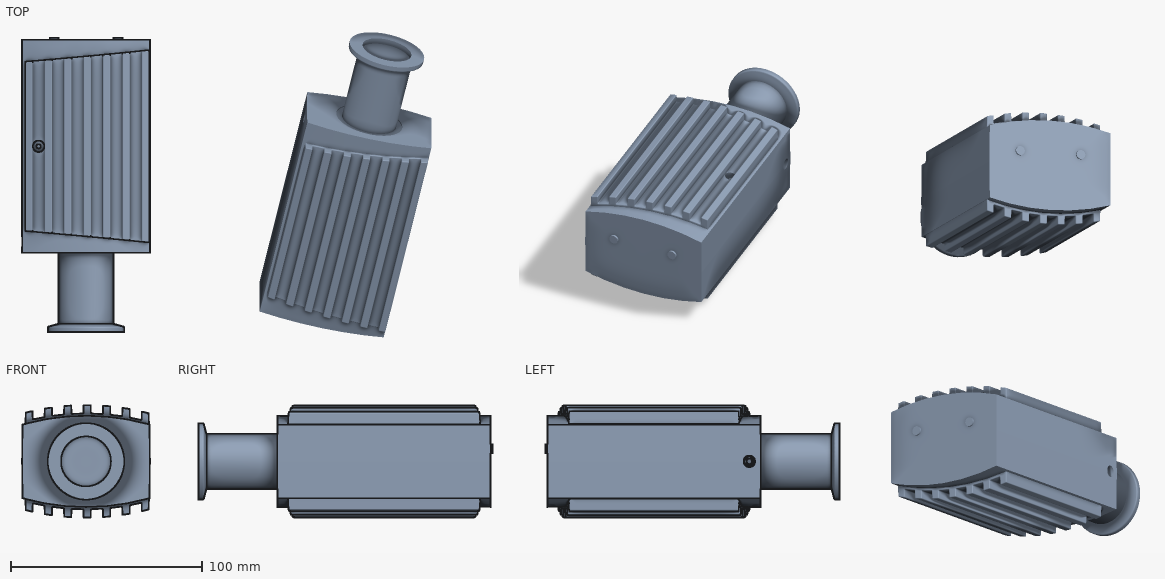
import cadquery as cq

overall_length = 153.9

body_length = 111.5
body_width = 67.0
side_corner_x = 33.2
side_corner_z = 19.2
crest_z = 23.9

floor_rise = 1.2
height_over_fins = 59.0
fin_count = 7
fin_pitch = 10.2
fin_width = 3.8
slot_taper = 0.5
pad_draft_angle = 2
pad_base_z = 18.5
fin_offset_x = 0.6
fin_fillet = 0.5
pad_left_length = 88.6
pad_right_length = 100.7

tube_diameter = 29.0
tube_seat_diameter = 35.4
tube_seat_depth = 0.6
flange_diameter = 40
flange_rim = 2.8
flange_taper = 1.5
flange_rim_fillet = 0.8
tube_length = 41.4
bore_diameter = 26.2
bore_depth = 3.1

stud_diameter = 4.8
stud_spacing = 33.4
stud_z = 6.6

screw_hole_diameter = 6.0
side_screw_y = 5.8
side_screw_depth = 3.8
side_head_diameter = 4.8
side_head_height = 0.8
side_socket_diameter = 3.0
side_socket_depth = 1.5
top_screw_depth = 4.6
top_screw_height = 1.5
top_screw_tip_diameter = 2.3

fin_crest_z = height_over_fins / 2
arch_sag = crest_z - side_corner_z
arch_radius = (side_corner_x**2 + arch_sag**2) / (2 * arch_sag)
arch_center_z = crest_z - arch_radius
fin_span = (fin_count - 1) * fin_pitch
pad_left_x = fin_offset_x - fin_span / 2 - fin_width / 2
pad_right_x = fin_offset_x + fin_span / 2 + fin_width / 2
stud_height = overall_length - body_length - tube_length
body_mid_y = body_length / 2


def arch(top_z):
    """Long cylinder concentric with the housing arch, cresting at top_z."""
    return (
        cq.Workplane("XZ", origin=(0, body_length, arch_center_z))
        .circle(top_z - arch_center_z)
        .extrude(body_length)
    )


def make_body():
    """Housing with its front face at Y = 0."""
    return (
        cq.Workplane("XZ", origin=(0, body_length, 0))
        .moveTo(-side_corner_x, -side_corner_z)
        .threePointArc((0, -crest_z), (side_corner_x, -side_corner_z))
        .lineTo(body_width / 2, 0)
        .lineTo(side_corner_x, side_corner_z)
        .threePointArc((0, crest_z), (-side_corner_x, side_corner_z))
        .lineTo(-body_width / 2, 0)
        .close()
        .extrude(body_length)
    )


def make_fins():
    """Finned pad on the top face, longer on the right than on the left."""
    pad = (
        cq.Workplane("XY", origin=(0, 0, pad_base_z))
        .moveTo(pad_left_x, body_mid_y - pad_left_length / 2)
        .lineTo(pad_right_x, body_mid_y - pad_right_length / 2)
        .lineTo(pad_right_x, body_mid_y + pad_right_length / 2)
        .lineTo(pad_left_x, body_mid_y + pad_left_length / 2)
        .close()
        .extrude(fin_crest_z - pad_base_z, taper=pad_draft_angle)
        .intersect(arch(fin_crest_z))
    )
    slot_half = (fin_pitch - fin_width) / 2
    slots = cq.Workplane("XZ", origin=(0, body_length, 0))
    for i in range(fin_count - 1):
        slot_x = fin_offset_x - fin_span / 2 + (i + 0.5) * fin_pitch
        slots = slots.moveTo(slot_x - slot_half + slot_taper, 0)
        slots = slots.lineTo(slot_x + slot_half - slot_taper, 0)
        slots = slots.lineTo(slot_x + slot_half, fin_crest_z)
        slots = slots.lineTo(slot_x - slot_half, fin_crest_z).close()
    slots = slots.extrude(body_length).cut(arch(crest_z + floor_rise))
    fins = pad.cut(slots)
    return fins.faces("not <Z").edges("not <Z").fillet(fin_fillet)


def make_tube():
    """Tube with a flange whose back face tapers, bored shallowly at the end."""
    taper_y = -tube_length + flange_rim + flange_taper
    rim_y = -tube_length + flange_rim
    bore_y = -tube_length + bore_depth
    tube = (
        cq.Workplane("XY")
        .moveTo(0, tube_seat_depth)
        .lineTo(tube_diameter / 2, tube_seat_depth)
        .lineTo(tube_diameter / 2, taper_y)
        .lineTo(flange_diameter / 2, rim_y)
        .lineTo(flange_diameter / 2, -tube_length)
        .lineTo(bore_diameter / 2, -tube_length)
        .lineTo(bore_diameter / 2, bore_y)
        .lineTo(0, bore_y)
        .close()
        .revolve(360, (0, 0, 0), (0, 1, 0))
    )
    rim_edge = cq.selectors.NearestToPointSelector((0, rim_y, 0))
    return tube.edges(rim_edge).fillet(flange_rim_fillet)


def make_tube_seat():
    """Shallow round recess around the foot of the tube."""
    return cq.Workplane("XZ").circle(tube_seat_diameter / 2).extrude(-tube_seat_depth)


def make_studs():
    """Pair of studs standing on the back face."""
    return (
        cq.Workplane("XZ", origin=(0, body_length, stud_z))
        .rarray(stud_spacing, 1.5, 2, 1)
        .circle(stud_diameter / 2)
        .extrude(-stud_height)
    )


def cut_side_screw(part):
    """Sink a flat screw head with a round socket into the left side, on the parting line."""
    floor_x = -body_width / 2 + side_screw_depth
    floor = cq.Workplane("YZ", origin=(floor_x, side_screw_y, 0))
    hole = floor.circle(screw_hole_diameter / 2).extrude(-side_screw_depth)
    head = floor.circle(side_head_diameter / 2).extrude(-side_head_height)
    socket_base = floor.workplane(offset=side_socket_depth - side_head_height)
    socket = socket_base.circle(side_socket_diameter / 2).extrude(-side_socket_depth)
    return part.cut(hole.cut(head)).cut(socket)


def cut_top_screw(part):
    """Sink a screw with a cone-shaped head into the channel beside the leftmost top fin."""
    screw_x = fin_offset_x - fin_span / 2 + fin_pitch / 2
    floor_z = crest_z - top_screw_depth
    floor = cq.Workplane("XY", origin=(screw_x, body_mid_y, floor_z))
    hole = floor.circle(screw_hole_diameter / 2).extrude(fin_crest_z - floor_z)
    head = (
        floor.circle(screw_hole_diameter / 2)
        .workplane(offset=top_screw_height)
        .circle(top_screw_tip_diameter / 2)
        .loft()
    )
    return part.cut(hole.cut(head))


fins = make_fins()
result = make_body().union(fins).union(fins.mirror("XY"))
result = result.cut(make_tube_seat()).union(make_tube())
result = result.union(make_studs())
result = cut_side_screw(result)
result = cut_top_screw(result)